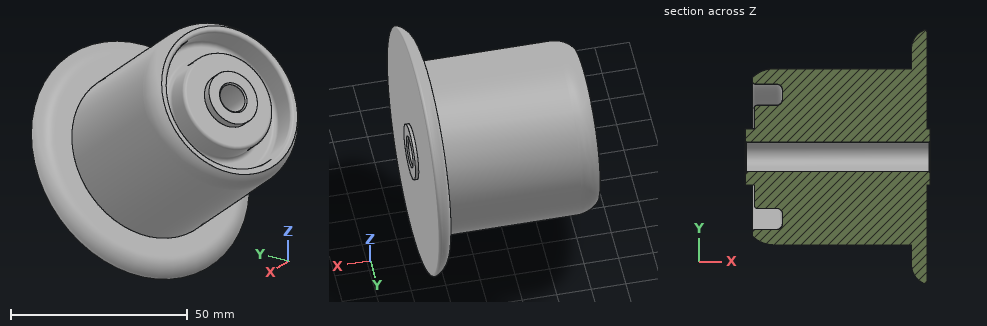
import cadquery as cq
import math

total_length = 52.4
boss_length = 2.0
front_face = boss_length
nose_end = 8.0
flange_front = 47.0
flange_back = 51.5
recess_floor = 10.5
hub_face = 2.5

boss_radius = 8.0
barrel_radius = 25.0
nose_radius = 22.5
flange_flat_radius = 30.5
flange_radius = 36.0
recess_radius = 20.5
hub_radius = 14.7
bore_radius = 4.1

rim_round = 0.65
rim_start_angle = 45
lip_round = 1.0
floor_round = 1.5
hub_edge_round = 1.0
bore_chamfer = 0.4


def tangent_arc_radius(along, away):
    """Radius of an arc that runs `along` its start tangent and drops `away` from it."""
    return (along**2 + away**2) / (2 * away)


def revolve_about_x(profile):
    return profile.close().revolve(360, (0, 0, 0), (1, 0, 0))


def make_body():
    """Barrel with a rounded nose, a dished flange and a boss at each end."""
    nose_arc = tangent_arc_radius(nose_end - front_face, barrel_radius - nose_radius)
    rim_angle = math.radians(rim_start_angle)
    rim_start = flange_back - rim_round * (1 + math.cos(rim_angle))
    rim_start_radius = flange_radius - rim_round * (1 - math.sin(rim_angle))
    flange_arc = tangent_arc_radius(rim_start_radius - flange_flat_radius, rim_start - flange_front)
    rim_tip = (flange_back - rim_round, flange_radius)
    rim_end = (flange_back, flange_radius - rim_round)
    profile = (
        cq.Workplane("XY")
        .lineTo(0, boss_radius)
        .lineTo(front_face, boss_radius)
        .lineTo(front_face, nose_radius)
        .radiusArc((nose_end, barrel_radius), nose_arc)
        .lineTo(flange_front, barrel_radius)
        .lineTo(flange_front, flange_flat_radius)
        .radiusArc((rim_start, rim_start_radius), flange_arc)
        .threePointArc(rim_tip, rim_end)
        .lineTo(flange_back, boss_radius)
        .lineTo(total_length, boss_radius)
        .lineTo(total_length, 0)
    )
    return revolve_about_x(profile)


def make_recess():
    """Annular recess between hub and barrel, with rounded edges and floor corners."""
    profile = (
        cq.Workplane("XY")
        .moveTo(front_face, boss_radius)
        .lineTo(hub_face, boss_radius)
        .lineTo(hub_face, hub_radius - hub_edge_round)
        .radiusArc((hub_face + hub_edge_round, hub_radius), hub_edge_round)
        .lineTo(recess_floor - floor_round, hub_radius)
        .radiusArc((recess_floor, hub_radius + floor_round), -floor_round)
        .lineTo(recess_floor, recess_radius - floor_round)
        .radiusArc((recess_floor - floor_round, recess_radius), -floor_round)
        .lineTo(front_face + lip_round, recess_radius)
        .radiusArc((front_face, recess_radius + lip_round), lip_round)
    )
    return revolve_about_x(profile)


def make_bore():
    """Through bore, chamfered at both ends."""
    mouth_radius = bore_radius + bore_chamfer
    profile = (
        cq.Workplane("XY")
        .lineTo(0, mouth_radius)
        .lineTo(bore_chamfer, bore_radius)
        .lineTo(total_length - bore_chamfer, bore_radius)
        .lineTo(total_length, mouth_radius)
        .lineTo(total_length, 0)
    )
    return revolve_about_x(profile)


result = make_body().cut(make_recess()).cut(make_bore())